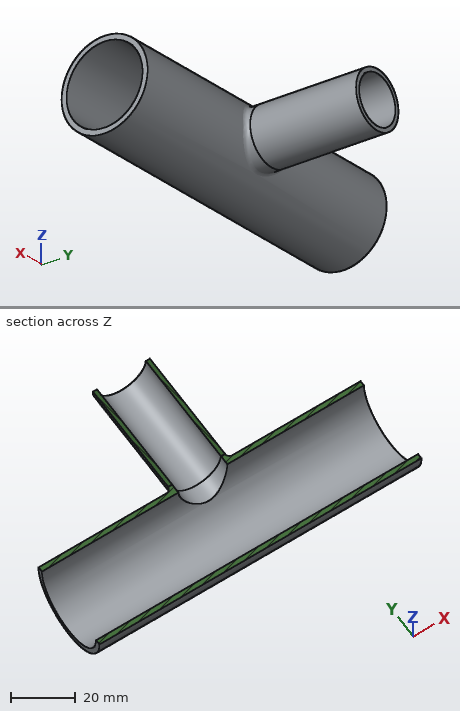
import cadquery as cq

run_length = 120.0
run_outer_diameter = 33.7
run_bore_diameter = 29.8

branch_outer_diameter = 21.4
branch_bore_diameter = 18.1
overall_width = 76.8
collar_height = 1.7
weld_radius = 1.5

run_radius = run_outer_diameter / 2
joint_y = run_radius + collar_height
branch_end_y = overall_width - run_radius


def rod_along_x(diameter):
    """Solid cylinder over the full length of the main pipe."""
    section_plane = cq.Plane(origin=(0, 0, 0), xDir=(0, -1, 0), normal=(1, 0, 0))
    return cq.Workplane(section_plane).circle(diameter / 2).extrude(run_length / 2, both=True)


def rod_along_y(diameter, start_y, end_y):
    """Solid cylinder on the branch axis between two Y positions."""
    section = cq.Workplane("XZ", origin=(0, start_y, 0)).circle(diameter / 2)
    return section.extrude(start_y - end_y)


def make_tee():
    """Main pipe with a short filleted collar opening into its bore."""
    collar = rod_along_y(branch_outer_diameter, 0, joint_y)
    tee = rod_along_x(run_outer_diameter).union(collar)

    box_size = branch_outer_diameter + 2 * weld_radius
    saddle_edge = cq.selectors.BoxSelector(
        (-box_size / 2, 0, -box_size / 2),
        (box_size / 2, joint_y - collar_height / 2, box_size / 2),
        boundingbox=True,
    )
    tee = tee.edges(saddle_edge).fillet(weld_radius)

    tee = tee.cut(rod_along_x(run_bore_diameter))
    return tee.cut(rod_along_y(branch_bore_diameter, 0, joint_y))


def make_branch_pipe():
    """Open pipe that butts against the end of the collar."""
    outside = rod_along_y(branch_outer_diameter, joint_y, branch_end_y)
    return outside.cut(rod_along_y(branch_bore_diameter, joint_y, branch_end_y))


tee = make_tee()
branch_pipe = make_branch_pipe()

result = cq.Compound.makeCompound([tee.solids().val(), branch_pipe.solids().val()])